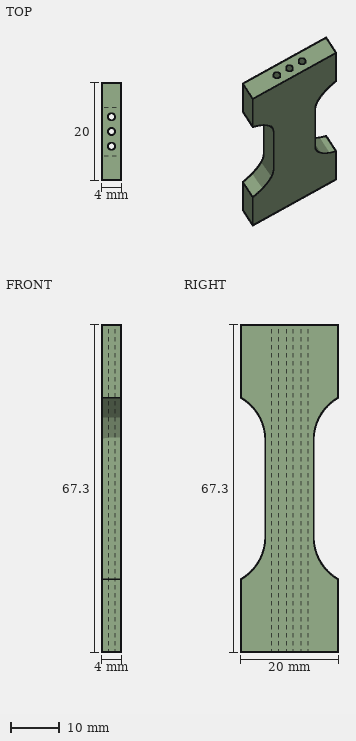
import cadquery as cq
import math

length = 67.3
width = 20.0
thickness = width / 5
neck_width = width / 2
neck_length = width
shoulder_radius = width / 2

hole_diameter = 1.4
hole_spacing = 3.0
hole_count = 3

shoulder_depth = (width - neck_width) / 2
shoulder_sweep = math.acos(1 - shoulder_depth / shoulder_radius)


def shoulder_point(angle, end):
    """Point (y, z) on the +Y shoulder arc, at an angle from the neck; end is +1 (top) or -1 (bottom)."""
    y = neck_width / 2 + shoulder_radius * (1 - math.cos(angle))
    z = neck_length / 2 + shoulder_radius * math.sin(angle)
    return y, end * z


def specimen_body():
    """Draw the +Y half of the outline from bottom to top, mirror it and extrude."""
    return (
        cq.Workplane("YZ")
        .moveTo(0, -length / 2)
        .lineTo(width / 2, -length / 2)
        .lineTo(*shoulder_point(shoulder_sweep, -1))
        .threePointArc(shoulder_point(shoulder_sweep / 2, -1), shoulder_point(0, -1))
        .lineTo(*shoulder_point(0, 1))
        .threePointArc(shoulder_point(shoulder_sweep / 2, 1), shoulder_point(shoulder_sweep, 1))
        .lineTo(width / 2, length / 2)
        .lineTo(0, length / 2)
        .mirrorY()
        .extrude(thickness / 2, both=True)
        .clean()
    )


def lengthwise_holes():
    """Round cutters running the full length of the part."""
    return (
        cq.Workplane("XY", origin=(0, 0, -length / 2))
        .rarray(0.7, hole_spacing, 1, hole_count)
        .circle(hole_diameter / 2)
        .extrude(length)
    )


result = specimen_body().cut(lengthwise_holes())